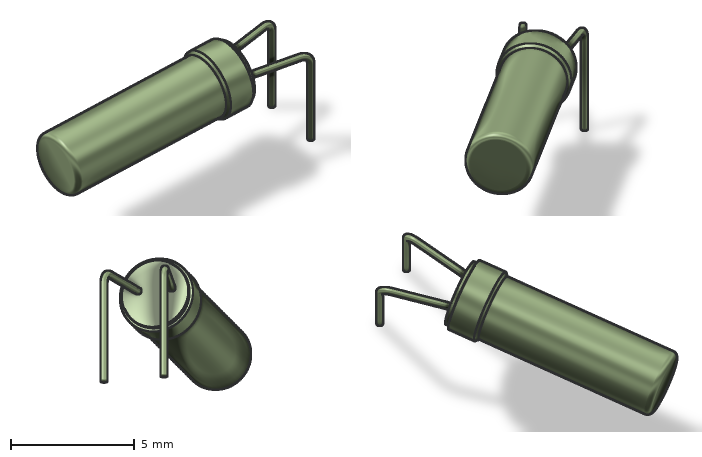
import cadquery as cq
import math

can_diameter = 2.82
can_end_round = 0.25
flange_diameter = 3.1
flange_length = 1.3
flange_setback = 0.2
flange_chamfer = (flange_diameter - can_diameter) / 2

lead_diameter = 0.3
lead_pitch = 2.54
lead_splay_angle = 10.4
lead_height = 0.17
lead_bend_radius = 0.5
lead_tip_round = 0.075
lead_embed = 0.5

overall_length = 12.35
overall_height = 6.1
can_length = 9.2

lead_radius = lead_diameter / 2
lead_leg_y = overall_length - can_length - lead_radius
lead_tip_z = flange_diameter / 2 - overall_height


def cylinder_along_y(diameter, y_start, y_end):
    """Cylinder on the can axis between two Y positions."""
    workplane = cq.Workplane("XZ", origin=(0, y_start, 0))
    return workplane.circle(diameter / 2).extrude(y_start - y_end)


def make_can():
    """Can with its lead-end face at Y = 0 and its closed end rounded."""
    can = cylinder_along_y(can_diameter, -can_length, 0)
    return can.faces("<Y").edges().fillet(can_end_round)


def make_flange():
    """Wider ring near the lead end, chamfered down to the can on its -Y side."""
    flange = cylinder_along_y(flange_diameter, -flange_setback - flange_length, -flange_setback)
    return flange.faces("<Y").edges().chamfer(flange_chamfer)


def make_straight_lead():
    """Bent lead in the plane X = 0, with its vertical leg on the Z axis."""
    run_length = lead_leg_y / math.cos(math.radians(lead_splay_angle)) + lead_embed
    bend_mid_offset = lead_bend_radius * (1 - math.sqrt(0.5))
    path = (
        cq.Workplane("YZ")
        .moveTo(0, lead_tip_z)
        .lineTo(0, lead_height - lead_bend_radius)
        .threePointArc(
            (-bend_mid_offset, lead_height - bend_mid_offset),
            (-lead_bend_radius, lead_height),
        )
        .lineTo(-run_length, lead_height)
    )
    tip_plane = cq.Workplane("XY", origin=(0, 0, lead_tip_z))
    lead = tip_plane.circle(lead_radius).sweep(path)
    return lead.faces("<Z").edges().fillet(lead_tip_round)


def make_lead(side):
    """Lead turned outwards by the splay angle; side is -1 for -X, +1 for +X."""
    turned = make_straight_lead().rotate((0, 0, 0), (0, 0, 1), -side * lead_splay_angle)
    return turned.translate((side * lead_pitch / 2, lead_leg_y, 0))


result = make_can().union(make_flange())
for side in (-1, 1):
    result = result.union(make_lead(side))